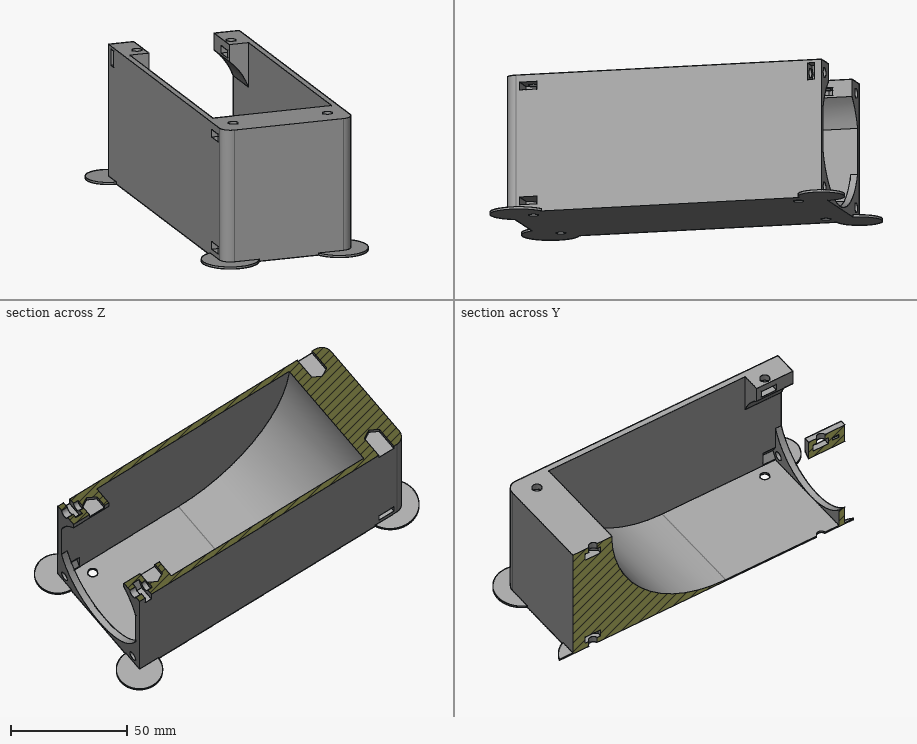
import cadquery as cq
import math

body_length = 141.4
body_width = 60.0
body_height = 60.0
corner_radius = 5.0
wall = 2.8
front_wall = 3.1
floor = 1.0

opening_radius = 29.0
ramp_radius = body_height - floor
cavity_end = 121.0

post_length = 18.9
post_width = 11.6

vertical_hole_diameter = 4.3
front_hole_diameter = 4.2
screw_y = 21.6
front_screw_x = 12.5
rear_screw_x = 130.9
fan_hole_pitch = 50.0
fan_hole_depth = 8.7
flat_nut_across_flats = 7.8
flat_nut_thickness = 3.4
flat_nut_inset = 3.2
upright_nut_across_flats = 7.3
upright_nut_thickness = 3.2
lower_nut_recess_length = 6.4

foot_thickness = 1.0
front_foot_radius = 10.0
rear_foot_radius = 12.5

half_width = body_width / 2
mid_height = body_height / 2
cavity_width = body_width - 2 * wall
post_inner_y = half_width - post_width
fan_hole_y = fan_hole_pitch / 2
lower_fan_z = mid_height - fan_hole_y
upper_fan_z = mid_height + fan_hole_y
hexagon_ratio = 2 / math.sqrt(3)
vertical_hole_depth = flat_nut_inset + flat_nut_thickness
lower_nut_z = flat_nut_inset
upper_nut_z = body_height - flat_nut_inset - flat_nut_thickness


def box(x_min, x_max, y_min, y_max, z_min, z_max):
    """Axis-aligned box between the given limits."""
    size = (x_max - x_min, y_max - y_min, z_max - z_min)
    return cq.Workplane("XY").box(*size, centered=False).translate((x_min, y_min, z_min))


def vertical_cylinder(x, y, z, diameter, height):
    """Cylinder along Z standing on height z."""
    return cq.Workplane("XY", origin=(x, y, z)).circle(diameter / 2).extrude(height)


def make_body():
    """Solid block with its two rear vertical edges rounded."""
    block = box(0, body_length, -half_width, half_width, 0, body_height)
    return block.edges("|Z and >X").fillet(corner_radius)


def make_cavity():
    """Open-topped cavity whose rear end is a quarter-round ramp, less the front posts."""
    ramp_start = cavity_end - ramp_radius
    diagonal = ramp_radius * math.sqrt(0.5)
    cavity = (
        cq.Workplane("XZ")
        .moveTo(front_wall, body_height)
        .lineTo(front_wall, floor)
        .lineTo(ramp_start, floor)
        .threePointArc((ramp_start + diagonal, body_height - diagonal), (cavity_end, body_height))
        .close()
        .extrude(cavity_width / 2, both=True)
    )
    for y_min, y_max in ((-half_width, -post_inner_y), (post_inner_y, half_width)):
        cavity = cavity.cut(box(0, post_length, y_min, y_max, mid_height, body_height))
    return cavity


def make_front_opening():
    """Round opening along X, flattened by the side walls and open to the top between the posts."""
    bore = cq.Workplane("YZ", origin=(0, 0, mid_height)).circle(opening_radius).extrude(post_length)
    between_walls = box(0, post_length, -cavity_width / 2, cavity_width / 2, 0, body_height)
    slot = box(0, front_wall, -post_inner_y, post_inner_y, mid_height, body_height)
    return bore.intersect(between_walls).union(slot)


def flat_nut_pocket(x, side, z, opening_direction):
    """Pocket for a nut lying flat, slid in along Y; opening_direction is +1 for outward."""
    y = side * screw_y
    reach = half_width - screw_y
    nut = (
        cq.Workplane("XY", origin=(x, y, z))
        .polygon(6, flat_nut_across_flats * hexagon_ratio)
        .extrude(flat_nut_thickness)
        .rotate((x, y, 0), (x, y, 1), 90)
    )
    y_open = y + side * opening_direction * reach
    half_flats = flat_nut_across_flats / 2
    channel = box(x - half_flats, x + half_flats, min(y, y_open), max(y, y_open), z, z + flat_nut_thickness)
    return nut.union(channel)


def upright_hexagon(side, z, length):
    """Hexagonal prism along X behind the front wall, centred on a front hole."""
    across_corners = upright_nut_across_flats * hexagon_ratio
    plane = cq.Workplane("YZ", origin=(front_wall, side * fan_hole_y, z))
    return plane.polygon(6, across_corners).extrude(length)


def upright_nut_pocket(side, z):
    """Pocket for a nut standing across X, slid in from the outer side wall."""
    x_end = front_wall + upright_nut_thickness
    y = side * fan_hole_y
    y_open = side * half_width
    half_flats = upright_nut_across_flats / 2
    channel = box(front_wall, x_end, min(y, y_open), max(y, y_open), z - half_flats, z + half_flats)
    return upright_hexagon(side, z, upright_nut_thickness).union(channel)


def cut_fasteners(part):
    """Cut all the screw holes and nut pockets, alike on both sides."""
    for side in (-1, 1):
        for x in (front_screw_x, rear_screw_x):
            for z in (0, body_height - vertical_hole_depth):
                part = part.cut(
                    vertical_cylinder(x, side * screw_y, z, vertical_hole_diameter, vertical_hole_depth)
                )
        for z in (lower_fan_z, upper_fan_z):
            plane = cq.Workplane("YZ", origin=(0, side * fan_hole_y, z))
            part = part.cut(plane.circle(front_hole_diameter / 2).extrude(fan_hole_depth))
        part = part.cut(upright_nut_pocket(side, upper_fan_z))
        part = part.cut(upright_hexagon(side, lower_fan_z, lower_nut_recess_length))
        part = part.cut(flat_nut_pocket(front_screw_x, side, upper_nut_z, -1))
        for z in (lower_nut_z, upper_nut_z):
            part = part.cut(flat_nut_pocket(rear_screw_x, side, z, 1))
    return part


def make_feet():
    """Full round feet, two centred on the front corners and two on the rear corner roundings."""
    rear_x = body_length - corner_radius
    rear_y = half_width - corner_radius
    feet = cq.Workplane("XY")
    for side in (-1, 1):
        feet = feet.add(vertical_cylinder(0, side * half_width, 0, 2 * front_foot_radius, foot_thickness))
        feet = feet.add(vertical_cylinder(rear_x, side * rear_y, 0, 2 * rear_foot_radius, foot_thickness))
    return feet.combine()


body = make_body()
feet = make_feet().cut(body)
shell = body.cut(make_cavity()).cut(make_front_opening())
result = cut_fasteners(shell).union(feet)